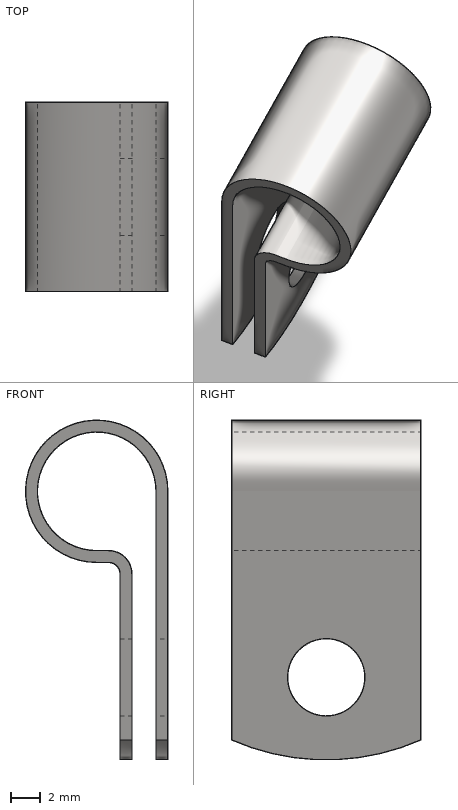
import cadquery as cq
import math

strip_width = 12.7
thickness = 0.81
loop_outer_diameter = 9.55
overall_height = 22.78
leg_gap = 1.6
bend_inner_radius = 0.76
hole_diameter = 5.16
hole_above_bottom = 5.54
end_arc_sagitta = 1.34

loop_outer_radius = loop_outer_diameter / 2
loop_inner_radius = loop_outer_radius - thickness
bend_outer_radius = bend_inner_radius + thickness
bottom_z = loop_outer_radius - overall_height
hole_z = bottom_z + hole_above_bottom
side_edge_z = bottom_z + end_arc_sagitta
short_leg_inner_x = loop_inner_radius - leg_gap
short_leg_outer_x = short_leg_inner_x - thickness
bend_center_x = short_leg_inner_x - bend_outer_radius
bend_center_z = -loop_inner_radius - bend_outer_radius
half_width = strip_width / 2
diagonal = math.sqrt(0.5)


def loop_point(radius):
    """Midpoint of the three-quarter loop, opposite its open quarter."""
    offset = radius * diagonal
    return (-offset, offset)


def bend_point(radius):
    """Midpoint of the quarter-round bend between the loop and the short leg."""
    offset = radius * diagonal
    return (bend_center_x + offset, bend_center_z + offset)


def make_strip():
    """Bent strip: long leg, three-quarter loop, reverse bend and short leg."""
    return (
        cq.Workplane("XZ", origin=(0, half_width, 0))
        .moveTo(loop_outer_radius, bottom_z)
        .lineTo(loop_outer_radius, 0)
        .threePointArc(loop_point(loop_outer_radius), (0, -loop_outer_radius))
        .lineTo(bend_center_x, -loop_outer_radius)
        .threePointArc(bend_point(bend_inner_radius), (short_leg_outer_x, bend_center_z))
        .lineTo(short_leg_outer_x, bottom_z)
        .lineTo(short_leg_inner_x, bottom_z)
        .lineTo(short_leg_inner_x, bend_center_z)
        .threePointArc(bend_point(bend_outer_radius), (bend_center_x, -loop_inner_radius))
        .lineTo(0, -loop_inner_radius)
        .threePointArc(loop_point(loop_inner_radius), (loop_inner_radius, 0))
        .lineTo(loop_inner_radius, bottom_z)
        .close()
        .extrude(strip_width)
    )


def make_side_envelope():
    """Side outline through the full X extent, with the arched leg ends."""
    return (
        cq.Workplane("YZ")
        .moveTo(-half_width, loop_outer_radius)
        .lineTo(-half_width, side_edge_z)
        .threePointArc((0, bottom_z), (half_width, side_edge_z))
        .lineTo(half_width, loop_outer_radius)
        .close()
        .extrude(loop_outer_radius, both=True)
    )


def make_hole():
    """Screw hole cutter passing through both legs."""
    return (
        cq.Workplane("YZ")
        .center(0, hole_z)
        .circle(hole_diameter / 2)
        .extrude(loop_outer_radius, both=True)
    )


result = make_strip().intersect(make_side_envelope()).cut(make_hole())